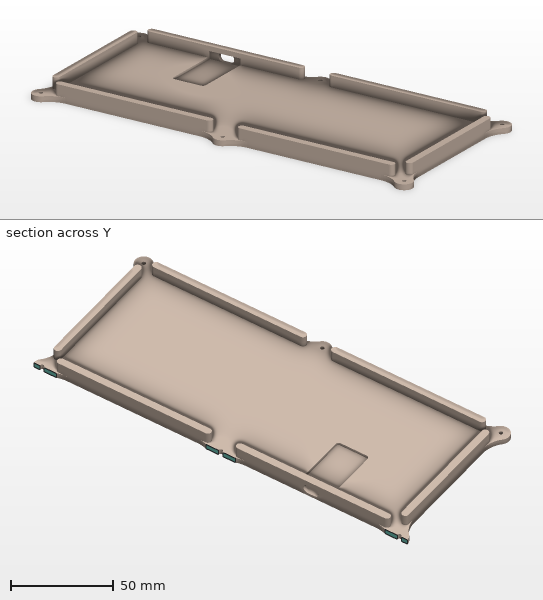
import cadquery as cq
import math

overall_length = 221.5
overall_width = 97.7
total_height = 9.3

half_length = 105.0
half_width = 43.2
floor_thickness = 3.0

lug_radius = 4.9
lug_x = overall_length / 2 - lug_radius
lug_y = overall_width / 2 - lug_radius
lug_hole_diameter = 2.2
flare_radius = 15.0

wall_thickness = 4.0
long_wall_start = 7.5
long_wall_end = 98.5
short_wall_half_length = 36.5

pocket_left = -62.5
pocket_right = -43.6
pocket_front = 6.5
pocket_depth = 1.5
pocket_corner_radius = 1.5
recess_depth = 2.0
recess_height = 5.0
slot_width = 9.0
slot_height = recess_height

wall_inner_y = half_width - wall_thickness
pocket_width = pocket_right - pocket_left
pocket_center_x = (pocket_left + pocket_right) / 2
pocket_floor_z = floor_thickness - pocket_depth


def lug_with_flare(reach, overhang):
    """Lug at the origin, blended into a straight edge that lies `overhang` below its centre.

    `reach` lists the sides (-1, 1) on which a flare runs out along the edge.
    """
    lug = cq.Workplane("XY").circle(lug_radius).extrude(floor_thickness)
    center_y = flare_radius - overhang
    center_distance = lug_radius + flare_radius
    run_out = math.sqrt(center_distance**2 - center_y**2)
    touch_x = run_out * lug_radius / center_distance
    touch_y = center_y * lug_radius / center_distance
    mid_angle = (math.atan2(-center_y, -run_out) - math.pi / 2) / 2
    mid_x = run_out + flare_radius * math.cos(mid_angle)
    mid_y = center_y + flare_radius * math.sin(mid_angle)
    for side in reach:
        flare = (
            cq.Workplane("XY")
            .moveTo(0, -overhang)
            .lineTo(0, 0)
            .lineTo(side * touch_x, touch_y)
            .threePointArc((side * mid_x, mid_y), (side * run_out, -overhang))
            .lineTo(side * run_out, -overhang - wall_thickness)
            .lineTo(0, -overhang - wall_thickness)
            .close()
            .extrude(floor_thickness)
        )
        lug = lug.union(flare)
    return lug


def round_ended_wall(length, angle, center):
    return (
        cq.Workplane("XY")
        .center(*center)
        .slot2D(length, wall_thickness, angle)
        .extrude(total_height)
    )


result = cq.Workplane("XY").rect(2 * half_length, 2 * half_width).extrude(floor_thickness)

middle_lug = lug_with_flare((-1, 1), lug_y - half_width).translate((0, lug_y, 0))
corner_lug = lug_with_flare((-1,), lug_y - half_width)
side_flare = lug_with_flare((1,), lug_x - half_length).rotate((0, 0, 0), (0, 0, 1), -90)
corner_lug = corner_lug.union(side_flare).translate((lug_x, lug_y, 0))
back_lugs = middle_lug.union(corner_lug).union(corner_lug.mirror("YZ"))
result = result.union(back_lugs).union(back_lugs.mirror("XZ"))

long_wall_length = long_wall_end - long_wall_start
long_wall_x = (long_wall_start + long_wall_end) / 2
for side in (-1, 1):
    short_wall_center = (side * (half_length - wall_thickness / 2), 0)
    result = result.union(round_ended_wall(2 * short_wall_half_length, 90, short_wall_center))
    for end in (-1, 1):
        long_wall_center = (end * long_wall_x, side * (half_width - wall_thickness / 2))
        result = result.union(round_ended_wall(long_wall_length, 0, long_wall_center))

hole_points = [(x, y) for x in (-lug_x, 0, lug_x) for y in (-lug_y, lug_y)]
lug_holes = (
    cq.Workplane("XY")
    .pushPoints(hole_points)
    .circle(lug_hole_diameter / 2)
    .extrude(floor_thickness)
)
result = result.cut(lug_holes)

pocket = (
    cq.Workplane("XY", origin=(pocket_center_x, (pocket_front + wall_inner_y) / 2, pocket_floor_z))
    .rect(pocket_width, wall_inner_y - pocket_front)
    .extrude(pocket_depth)
    .edges("|Z and <Y")
    .fillet(pocket_corner_radius)
)
result = result.cut(pocket)

recess = (
    cq.Workplane("XY", origin=(pocket_center_x, wall_inner_y + recess_depth / 2, pocket_floor_z))
    .box(pocket_width, recess_depth, recess_height, centered=(True, True, False))
)
result = result.cut(recess)

slot_z = pocket_floor_z + recess_height / 2
slot = (
    cq.Workplane("XZ", origin=(pocket_center_x, half_width, slot_z))
    .slot2D(slot_width, slot_height)
    .extrude(wall_thickness)
)
result = result.cut(slot)